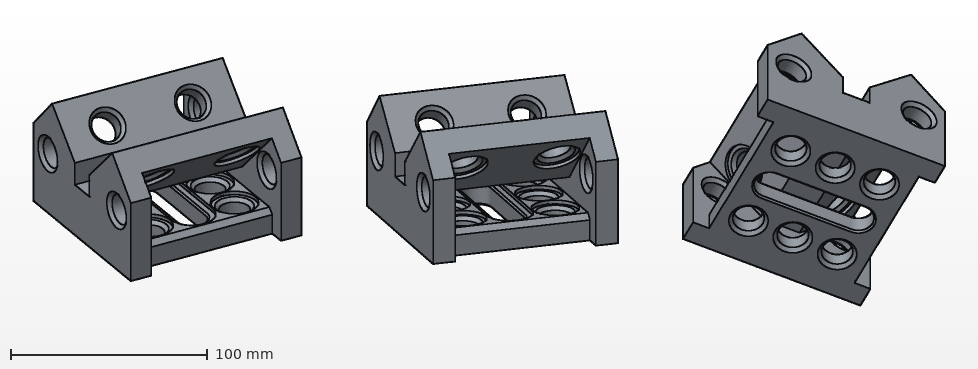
import cadquery as cq
import math

LENGTH = 100.0
WIDTH = 100.0
HEIGHT = 65.0
SHOULDER_HEIGHT = 45.0
RIDGE_X = 30.9

SLOT_WIDTH = 15.0
SLOT_FLOOR_Z = 29.0

END_WALL = 12.0
VEE_WALL = 14.0
CEILING_HALF_WIDTH = 10.0
FLOOR_THICKNESS = 14.0
FLOOR_WIDTH = 82.0
FLOOR_CHAMFER = 3.0

HOLE_DIAMETER = 16.0
CHAMFER = 2.0
RECESS_DIAMETER = 24.5
RECESS_DEPTH = 2.0
HOLE_Y = 25.0
END_HOLE_X = 35.3
END_HOLE_Z = 34.0
VEE_HOLE_X = 17.7
FLOOR_HOLE_PITCH = 25.0

FLOOR_SLOT_SPACING = 50.0
FLOOR_SLOT_CHAMFER = 1.0

SIDES = (-1, 1)
CUT_MARGIN = 1.0

half_width = WIDTH / 2
slot_half_width = SLOT_WIDTH / 2
vee_offset = HEIGHT - RIDGE_X
underside_offset = vee_offset - VEE_WALL * math.sqrt(2)
cavity_length = LENGTH - 2 * END_WALL
chamfer_diameter = HOLE_DIAMETER + 2 * CHAMFER


def mirrored_outline(right_half):
    """Closed XZ outline made from its right half, listed from bottom to top."""
    left_half = [(-x, z) for x, z in reversed(right_half)]
    return cq.Workplane("XZ").polyline(right_half + left_half).close()


def block():
    """Full-length prism with two ridges, a vee and a slot."""
    right_half = [
        (half_width, 0),
        (half_width, SHOULDER_HEIGHT),
        (RIDGE_X, HEIGHT),
        (slot_half_width, slot_half_width + vee_offset),
        (slot_half_width, SLOT_FLOOR_Z),
    ]
    return mirrored_outline(right_half).extrude(LENGTH / 2, both=True)


def cavity():
    """Space between the end walls, open on both sides, without the floor."""
    beyond_side = half_width + CUT_MARGIN
    floor_half_width = FLOOR_WIDTH / 2
    right_half = [
        (floor_half_width, -CUT_MARGIN),
        (beyond_side, -CUT_MARGIN),
        (beyond_side, beyond_side + underside_offset),
        (CEILING_HALF_WIDTH, CEILING_HALF_WIDTH + underside_offset),
    ]
    opening = mirrored_outline(right_half).extrude(cavity_length / 2, both=True)
    floor_half = [
        (floor_half_width, -CUT_MARGIN),
        (floor_half_width, FLOOR_THICKNESS - FLOOR_CHAMFER),
        (floor_half_width - FLOOR_CHAMFER, FLOOR_THICKNESS),
    ]
    floor = mirrored_outline(floor_half).extrude(cavity_length / 2, both=True)
    return opening.cut(floor)


def disc(plane, diameter, depth):
    """Cylinder that goes below the plane by the depth."""
    return cq.Workplane(plane).circle(diameter / 2).extrude(-depth)


def countersink(plane):
    """Cone that breaks the edge of a hole whose mouth lies on the plane."""
    mouth = cq.Workplane(plane).circle(chamfer_diameter / 2)
    return mouth.workplane(offset=-CHAMFER).circle(HOLE_DIAMETER / 2).loft()


def recess_plane(plane):
    """Plane at the bottom of a recess, facing the same way."""
    return cq.Workplane(plane).workplane(offset=-RECESS_DEPTH).plane


def recessed_hole(plane, depth):
    """Through hole with a recess and a countersink at the bottom of the recess."""
    tool = disc(plane, HOLE_DIAMETER, depth)
    tool = tool.union(disc(plane, RECESS_DIAMETER, RECESS_DEPTH))
    return tool.union(countersink(recess_plane(plane)))


def end_hole(x, end):
    """Hole through one end wall, chamfered on both faces."""
    outer = cq.Plane((x, end * LENGTH / 2, END_HOLE_Z), (1, 0, 0), (0, end, 0))
    inner = cq.Plane((x, end * cavity_length / 2, END_HOLE_Z), (1, 0, 0), (0, -end, 0))
    tool = disc(outer, HOLE_DIAMETER, END_WALL)
    return tool.union(countersink(outer)).union(countersink(inner))


def vee_hole(side, y):
    """Hole square to a vee face, recessed on the cavity side."""
    lower_x = VEE_HOLE_X + VEE_WALL / math.sqrt(2)
    upper = cq.Plane((side * VEE_HOLE_X, y, VEE_HOLE_X + vee_offset), (0, 1, 0), (-side, 0, 1))
    lower = cq.Plane((side * lower_x, y, lower_x + underside_offset), (0, 1, 0), (side, 0, -1))
    return recessed_hole(lower, VEE_WALL).union(countersink(upper))


def floor_hole(x, y):
    """Hole through the floor, recessed on top and chamfered underneath."""
    top = cq.Plane((x, y, FLOOR_THICKNESS), (1, 0, 0), (0, 0, 1))
    bottom = cq.Plane((x, y, 0), (1, 0, 0), (0, 0, -1))
    return recessed_hole(top, FLOOR_THICKNESS).union(countersink(bottom))


def floor_slot():
    """Slot along X through the floor, recessed on top and chamfered underneath."""

    def level(z, width):
        """Slot outline of a given width at height z, with fixed end centres."""
        plane = cq.Workplane("XY").workplane(offset=z)
        return plane.slot2D(FLOOR_SLOT_SPACING + width, width)

    recess_bottom = FLOOR_THICKNESS - RECESS_DEPTH
    bevel_width = HOLE_DIAMETER + 2 * FLOOR_SLOT_CHAMFER
    through = level(0, HOLE_DIAMETER).extrude(FLOOR_THICKNESS)
    recess = level(recess_bottom, RECESS_DIAMETER).extrude(RECESS_DEPTH)
    upper_bevel = level(recess_bottom, bevel_width).extrude(-FLOOR_SLOT_CHAMFER, taper=45)
    lower_bevel = level(0, bevel_width).extrude(FLOOR_SLOT_CHAMFER, taper=45)
    return through.union(recess).union(upper_bevel).union(lower_bevel)


result = block().cut(cavity())
for side in SIDES:
    for end in SIDES:
        result = result.cut(end_hole(side * END_HOLE_X, end))
        result = result.cut(vee_hole(side, end * HOLE_Y))
for y in (-HOLE_Y, HOLE_Y):
    for x in (-FLOOR_HOLE_PITCH, 0, FLOOR_HOLE_PITCH):
        result = result.cut(floor_hole(x, y))
result = result.cut(floor_slot())